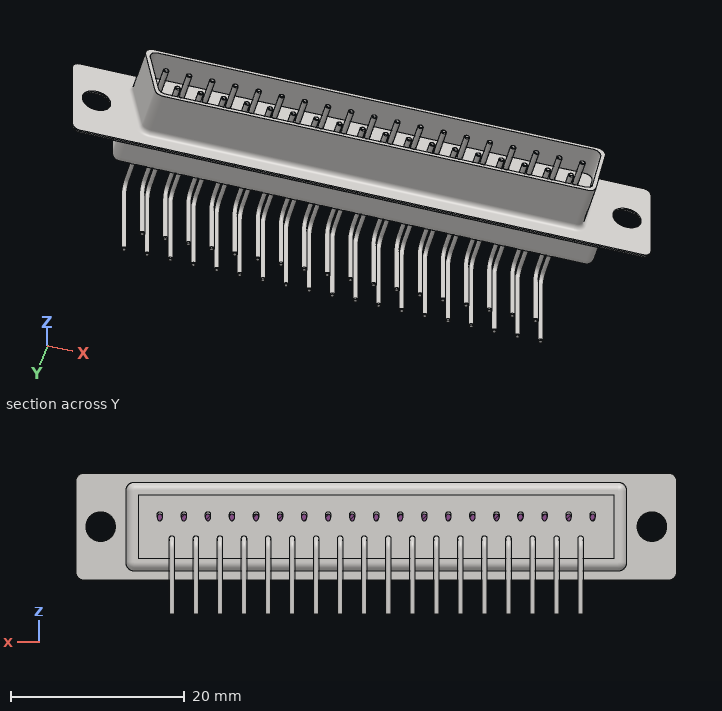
import cadquery as cq
import math


FLANGE_WIDTH = 69.4
FLANGE_HEIGHT = 12.5
FLANGE_THICKNESS = 0.4
FLANGE_CORNER_RADIUS = 1.0
FLANGE_EDGE_CHAMFER = 0.1
MOUNT_HOLE_SPACING = 63.5
MOUNT_HOLE_DIAMETER = 3.2

SIDE_ANGLE = math.radians(10)
SHROUD_MID_WIDTH = 54.0
SHROUD_HEIGHT = 8.3
SHROUD_LENGTH = 5.86
SHROUD_WALL = 0.5
CAVITY_CORNER_RADIUS = 0.9
SHROUD_CORNER_RADIUS = 1.0
SHROUD_ROOT_RADIUS = 0.65

HOUSING_WIDTH = 57.7
HOUSING_HEIGHT = 10.2
HOUSING_DEPTH = 4.42
HOUSING_CORNER_RADIUS = 0.96
HOUSING_REAR_RADIUS = 0.93
INSULATOR_FACE_Y = -2.2
INSULATOR_REAR_Y = 4.65
INSULATOR_INSET = 1.45

PIN_DIAMETER = 0.64
PIN_TIP_CHAMFER = 0.1
PIN_BEND_RADIUS = 1.27
PIN_PITCH = 2.77
ROW_SPACING = 2.77
UPPER_ROW_COUNT = 19
LOWER_ROW_COUNT = UPPER_ROW_COUNT - 1
PIN_TIP_RECESS = 0.4
OVERALL_DEPTH = 18.66
OVERALL_HEIGHT = 16.4

SHROUD_FRONT_Y = -SHROUD_LENGTH
PIN_FRONT_Y = SHROUD_FRONT_Y + PIN_TIP_RECESS
UPPER_TAIL_Y = SHROUD_FRONT_Y + OVERALL_DEPTH - PIN_DIAMETER / 2
LOWER_TAIL_Y = UPPER_TAIL_Y - ROW_SPACING
TAIL_BOTTOM_Z = FLANGE_HEIGHT / 2 - OVERALL_HEIGHT


def d_block(margin, corner_radius, start_y, end_y):
    """Prism along Y whose section is the shroud outline grown outward by margin."""
    half_height = SHROUD_HEIGHT / 2 + margin
    half_mid_width = SHROUD_MID_WIDTH / 2 + margin / math.cos(SIDE_ANGLE)
    half_taper = half_height * math.tan(SIDE_ANGLE)
    top = half_mid_width + half_taper
    bottom = half_mid_width - half_taper
    corners = [(-top, half_height), (top, half_height), (bottom, -half_height), (-bottom, -half_height)]
    prism = cq.Workplane("XZ", origin=(0, end_y, 0)).polyline(corners).close().extrude(end_y - start_y)
    return prism.edges("|Y").fillet(corner_radius)


def box_along_y(width, height, start_y, end_y):
    """Rectangular block centred on X = Z = 0."""
    depth = end_y - start_y
    return cq.Workplane("XY").box(width, depth, height).translate((0, start_y + depth / 2, 0))


def make_flange():
    """Mounting plate with two holes, all its rims lightly chamfered."""
    plate = box_along_y(FLANGE_WIDTH, FLANGE_HEIGHT, 0, FLANGE_THICKNESS)
    plate = plate.edges("|Y").fillet(FLANGE_CORNER_RADIUS)
    holes = (
        cq.Workplane("XZ", origin=(0, FLANGE_THICKNESS, 0))
        .pushPoints([(-MOUNT_HOLE_SPACING / 2, 0), (MOUNT_HOLE_SPACING / 2, 0)])
        .circle(MOUNT_HOLE_DIAMETER / 2)
        .extrude(FLANGE_THICKNESS)
    )
    return plate.cut(holes).faces("<Y or >Y").edges().chamfer(FLANGE_EDGE_CHAMFER)


def add_shroud(flange):
    """Join the shroud to the flange and round the inside corner around its root."""
    shroud = d_block(0, SHROUD_CORNER_RADIUS, SHROUD_FRONT_Y, FLANGE_THICKNESS)
    body = flange.union(shroud)
    half_width = SHROUD_MID_WIDTH / 2 + SHROUD_HEIGHT / 2 * math.tan(SIDE_ANGLE)
    half_height = SHROUD_HEIGHT / 2
    slack = 0.01
    root_edges = cq.selectors.BoxSelector(
        (-half_width, -slack, -half_height - slack), (half_width, slack, half_height + slack)
    )
    return body.edges(root_edges).fillet(SHROUD_ROOT_RADIUS)


def make_housing():
    """Rounded housing with the insulator standing slightly proud of its rear face."""
    block = box_along_y(HOUSING_WIDTH, HOUSING_HEIGHT, FLANGE_THICKNESS, HOUSING_DEPTH)
    block = block.edges("|Y").fillet(HOUSING_CORNER_RADIUS)
    block = block.faces(">Y").edges().fillet(HOUSING_REAR_RADIUS)
    insulator = box_along_y(
        HOUSING_WIDTH - 2 * INSULATOR_INSET,
        HOUSING_HEIGHT - 2 * INSULATOR_INSET,
        FLANGE_THICKNESS,
        INSULATOR_REAR_Y,
    )
    return block.union(insulator)


def make_mating_cavity():
    """Space inside the shroud, from its open end down to the insulator face."""
    return d_block(-SHROUD_WALL, CAVITY_CORNER_RADIUS, SHROUD_FRONT_Y, INSULATOR_FACE_Y)


def make_pin(height, tail_y):
    """Round pin at X = 0 running back at the given height, then bent down at tail_y."""
    bend_offset = PIN_BEND_RADIUS * (1 - math.sqrt(0.5))
    path = (
        cq.Workplane("YZ")
        .moveTo(PIN_FRONT_Y, height)
        .lineTo(tail_y - PIN_BEND_RADIUS, height)
        .threePointArc((tail_y - bend_offset, height - bend_offset), (tail_y, height - PIN_BEND_RADIUS))
        .lineTo(tail_y, TAIL_BOTTOM_Z)
    )
    pin = cq.Workplane("XZ", origin=(0, PIN_FRONT_Y, height)).circle(PIN_DIAMETER / 2).sweep(path)
    pin = pin.faces("<Y").edges().chamfer(PIN_TIP_CHAMFER)
    return pin.faces("<Z").edges().chamfer(PIN_TIP_CHAMFER)


def make_pin_row(count, height, tail_y):
    """Evenly pitched pins centred on X = 0."""
    pin = make_pin(height, tail_y).val()
    first_x = -(count - 1) * PIN_PITCH / 2
    return [pin.translate(cq.Vector(first_x + i * PIN_PITCH, 0, 0)) for i in range(count)]


shell = add_shroud(make_flange()).union(make_housing()).cut(make_mating_cavity())
pins = make_pin_row(UPPER_ROW_COUNT, ROW_SPACING / 2, UPPER_TAIL_Y)
pins += make_pin_row(LOWER_ROW_COUNT, -ROW_SPACING / 2, LOWER_TAIL_Y)
result = cq.Workplane(shell.val().fuse(*pins))